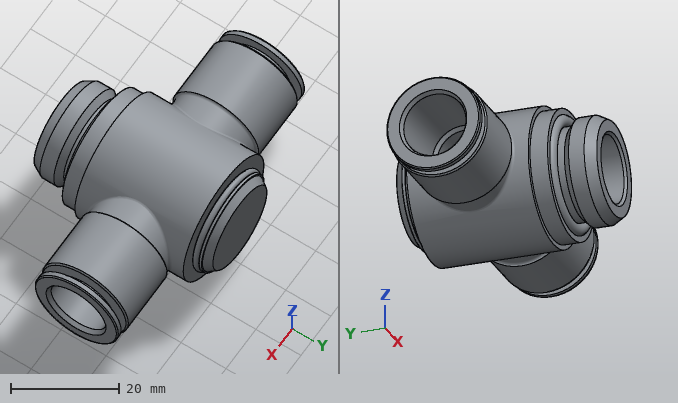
import cadquery as cq
import math


body_radius = 13.5
body_back = 11.95
body_front = -12.1
collar_radius = 12.55
collar_front = -15.6

neck_radius = 9.05
neck_front = -17.6
thread_radius = 10.35
thread_back = -18.9
thread_front = -22.0
tip_radius = 9.25
front_end = -24.05

front_seal_center_radius = 10.2
front_seal_section = 1.25
front_seal_y = -15.25

groove_radius = 10.3
rim_radius = 10.5
rim_front = 13.4
rim_back = 14.0
bevel_radius = 10.2
end_radius = 9.05
back_end = 15.6
back_seal_center_radius = 10.25
back_seal_section = 0.7
back_seal_y = 12.7

bore_radius = 6.5
bore_chamfer = 0.5
bore_tip_y = 6.2
bore_tip_height = 1.6

branch_end = 31.4
flange_radius = 9.25
flange_chamfer = 0.25
flange_inner = 30.2
collet_radius = 6.7
sleeve_radius = 9.55
sleeve_chamfer = 0.3
sleeve_face = 28.75
sleeve_rim = 28.6
sleeve_inner = 15.3
stub_radius = 9.05
sleeve_fillet = sleeve_radius - stub_radius
body_fillet = 0.5

through_radius = 5.45
socket_radius = 6.15
socket_chamfer = 0.5
socket_chamfer_length = 0.95
shoulder_outer = sleeve_inner
shoulder_inner = shoulder_outer - (socket_radius - through_radius)


def turned_about_y(profile):
    return profile.close().revolve(360, (0, 0, 0), (0, 1, 0))


def turned_about_x(profile):
    return profile.close().revolve(360, (0, 0, 0), (1, 0, 0))


def seal_half_chord(section, offset):
    """Half chord of an O-ring's round section at the given offset from its centre."""
    return math.sqrt(section**2 - offset**2)


def body_core():
    return cq.Workplane("XZ", origin=(0, body_back, 0)).circle(body_radius).extrude(body_back - body_front)


def front_end_solid():
    seal_outer_radius = front_seal_center_radius + seal_half_chord(
        front_seal_section, collar_front - front_seal_y
    )
    seal_neck_y = front_seal_y - seal_half_chord(front_seal_section, neck_radius - front_seal_center_radius)
    profile = (
        cq.Workplane("XY")
        .moveTo(0, body_front)
        .lineTo(collar_radius, body_front)
        .lineTo(collar_radius, collar_front)
        .lineTo(seal_outer_radius, collar_front)
        .threePointArc(
            (front_seal_center_radius, front_seal_y - front_seal_section),
            (neck_radius, seal_neck_y),
        )
        .lineTo(neck_radius, neck_front)
        .lineTo(thread_radius, thread_back)
        .lineTo(thread_radius, thread_front)
        .lineTo(tip_radius, front_end)
        .lineTo(0, front_end)
    )
    return turned_about_y(profile)


def back_end_solid():
    half_seal = seal_half_chord(back_seal_section, groove_radius - back_seal_center_radius)
    profile = (
        cq.Workplane("XY")
        .moveTo(0, body_back)
        .lineTo(groove_radius, body_back)
        .lineTo(groove_radius, back_seal_y - half_seal)
        .threePointArc(
            (back_seal_center_radius + back_seal_section, back_seal_y),
            (groove_radius, back_seal_y + half_seal),
        )
        .lineTo(groove_radius, rim_front)
        .lineTo(rim_radius, rim_front)
        .lineTo(rim_radius, rim_back)
        .lineTo(bevel_radius, rim_back)
        .lineTo(end_radius, back_end)
        .lineTo(0, back_end)
    )
    return turned_about_y(profile)


def filleted_stubs(body):
    """Join the branch stubs to the body and round the saddle edges."""
    stubs = cq.Workplane("YZ", origin=(-sleeve_inner, 0, 0)).circle(stub_radius).extrude(2 * sleeve_inner)
    joined = body.union(stubs)
    saddle_inner = body_radius / 2
    saddle_outer = (body_radius + sleeve_inner) / 2
    for side in (-1, 1):
        saddle_edges = cq.selectors.BoxSelector(
            (side * saddle_inner, -sleeve_radius, -sleeve_radius),
            (side * saddle_outer, sleeve_radius, sleeve_radius),
            boundingbox=True,
        )
        joined = joined.edges(saddle_edges).fillet(body_fillet)
    return joined


def branch_socket():
    """The +X branch outside the stub: root fillet, sleeve, release collet and its flange."""
    stub_tangent = sleeve_inner - sleeve_fillet
    arc_reach = sleeve_fillet * math.sqrt(0.5)
    profile = (
        cq.Workplane("XY")
        .moveTo(stub_tangent, 0)
        .lineTo(stub_tangent, stub_radius)
        .threePointArc(
            (stub_tangent + arc_reach, sleeve_radius - arc_reach),
            (sleeve_inner, sleeve_radius),
        )
        .lineTo(sleeve_rim - sleeve_chamfer, sleeve_radius)
        .lineTo(sleeve_rim, sleeve_radius - sleeve_chamfer)
        .lineTo(sleeve_face, collet_radius)
        .lineTo(flange_inner, collet_radius)
        .lineTo(flange_inner, flange_radius)
        .lineTo(branch_end - flange_chamfer, flange_radius)
        .lineTo(branch_end, flange_radius - flange_chamfer)
        .lineTo(branch_end, 0)
    )
    return turned_about_x(profile)


def main_bore():
    mouth_radius = bore_radius + bore_chamfer
    profile = (
        cq.Workplane("XY")
        .moveTo(0, front_end)
        .lineTo(mouth_radius, front_end)
        .lineTo(bore_radius, front_end + bore_chamfer)
        .lineTo(bore_radius, bore_tip_y - bore_tip_height)
        .lineTo(0, bore_tip_y)
    )
    return turned_about_y(profile)


def branch_bore():
    """The +X half of the bore through both branches."""
    profile = (
        cq.Workplane("XY")
        .lineTo(0, through_radius)
        .lineTo(shoulder_inner, through_radius)
        .lineTo(shoulder_outer, socket_radius)
        .lineTo(branch_end - socket_chamfer_length, socket_radius)
        .lineTo(branch_end, socket_radius + socket_chamfer)
        .lineTo(branch_end, 0)
    )
    return turned_about_x(profile)


def both_sides(branch):
    return branch.union(branch.mirror("YZ"))


result = (
    filleted_stubs(body_core())
    .union(front_end_solid())
    .union(back_end_solid())
    .union(both_sides(branch_socket()))
    .cut(both_sides(branch_bore()))
    .cut(main_bore())
)